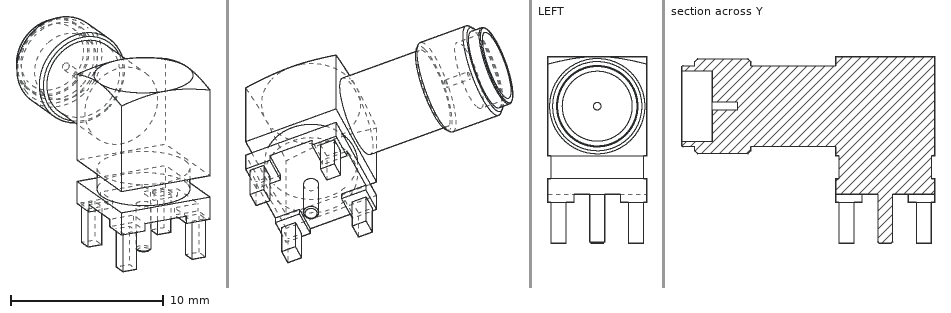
import cadquery as cq
import math

length = 16.6
height = 12.25
width = 6.5

block_bottom = height - width
block_left = length - width
block_center_x = length - width / 2
barrel_axis_z = height - width / 2
corner_angle = 20.0
corner_drop = width / 2 * (math.sqrt(2) - 1) * math.tan(math.radians(corner_angle))

barrel_diameter = 5.35
rim_chamfer = 0.07
collar_diameter = 6.25
collar_start = 0.83
collar_length = 3.7
collar_chamfer = 0.2
bore_diameter = 4.6
bore_depth = 2.0
contact_hole_diameter = 0.5
contact_hole_depth = 1.66

neck_diameter = 6.1
plate_top = 4.25
plate_bottom = 3.2
pad_size = 1.75
pad_bottom = 2.69
leg_size = 1.0
leg_inset = 0.22
pin_diameter = 1.0
pin_chamfer = 0.1


def box_below(size, center_x, center_y, top, bottom):
    """Square upright prism between two heights."""
    return (
        cq.Workplane("XY", origin=(center_x, center_y, bottom))
        .rect(size, size)
        .extrude(top - bottom)
    )


def upright_cylinder(diameter, top, bottom):
    """Cylinder on the vertical axis of the block."""
    return (
        cq.Workplane("XY", origin=(block_center_x, 0, bottom))
        .circle(diameter / 2)
        .extrude(top - bottom)
    )


def barrel_cylinder(diameter, start, end):
    """Cylinder on the barrel axis, running along X."""
    return (
        cq.Workplane("YZ", origin=(start, 0, barrel_axis_z))
        .circle(diameter / 2)
        .extrude(end - start)
    )


def elbow_block():
    """Cube whose upper corners are trimmed by a cone touching the top edges."""
    cube = box_below(width, block_center_x, 0, height, block_bottom)
    corner_radius = width / math.sqrt(2)
    shoulder_z = height - corner_drop
    envelope = (
        cq.Workplane("XZ", origin=(block_center_x, 0, 0))
        .moveTo(0, block_bottom)
        .lineTo(corner_radius, block_bottom)
        .lineTo(corner_radius, shoulder_z)
        .lineTo(width / 2, height)
        .lineTo(0, height)
        .close()
        .revolve(360, (0, 0, 0), (0, 1, 0))
    )
    return cube.intersect(envelope)


def barrel():
    """Open-ended barrel with a chamfered collar near its mouth."""
    tube = barrel_cylinder(barrel_diameter, 0, block_left).faces("<X").chamfer(rim_chamfer)
    collar = barrel_cylinder(collar_diameter, collar_start, collar_start + collar_length)
    collar = collar.faces("<X or >X").chamfer(collar_chamfer)
    bore = barrel_cylinder(bore_diameter, 0, bore_depth)
    contact_hole = barrel_cylinder(contact_hole_diameter, bore_depth, bore_depth + contact_hole_depth)
    return tube.union(collar).cut(bore).cut(contact_hole)


def base():
    """Neck, square plate, center pin and four stepped corner feet."""
    body = upright_cylinder(neck_diameter, block_bottom, plate_top)
    body = body.union(box_below(width, block_center_x, 0, plate_top, plate_bottom))
    pin = upright_cylinder(pin_diameter, plate_bottom, 0).faces("<Z").chamfer(pin_chamfer)
    body = body.union(pin)
    pad_offset = (width - pad_size) / 2
    leg_offset = (width - leg_size) / 2 - leg_inset
    for side_x in (-1, 1):
        for side_y in (-1, 1):
            pad = box_below(
                pad_size, block_center_x + side_x * pad_offset, side_y * pad_offset, plate_bottom, pad_bottom
            )
            leg = box_below(
                leg_size, block_center_x + side_x * leg_offset, side_y * leg_offset, pad_bottom, 0
            )
            body = body.union(pad).union(leg)
    return body


result = elbow_block().union(barrel()).union(base())